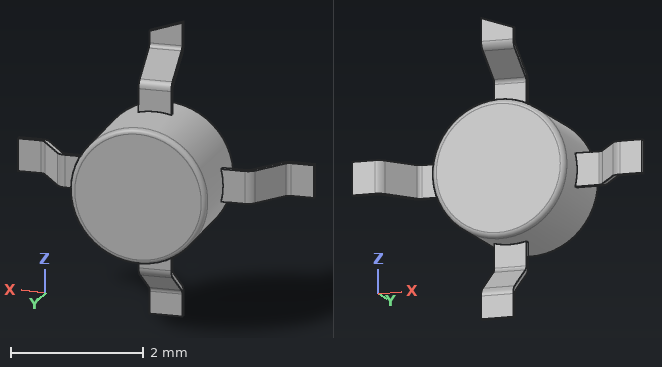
import cadquery as cq
import math

lead_reach = 2.335
body_radius = 1.08
body_length = 1.52
body_rounding = 0.08

lead_width = 0.52
lead_thickness = 0.08
foot_standoff = 0.04
lead_height = 0.66
root_radius = 0.935
first_bend = 1.425
bend_radius = 0.125
bend_angle = math.radians(54)
tip_cut = 0.177

foot_y = lead_thickness / 2 - foot_standoff
root_y = foot_y + lead_height - lead_thickness


def make_body():
    """Cylinder from Y = 0 to Y = body_length with both rims rounded."""
    body = cq.Workplane("XZ").circle(body_radius).extrude(-body_length)
    return body.faces("<Y or >Y").edges().fillet(body_rounding)


def make_lead():
    """Flat strip along +X, bent toward -Y and back out into a foot."""
    bend_run = bend_radius * math.sin(bend_angle)
    bend_drop = bend_radius * (1 - math.cos(bend_angle))
    half_run = bend_radius * math.sin(bend_angle / 2)
    half_drop = bend_radius * (1 - math.cos(bend_angle / 2))
    slope_drop = root_y - foot_y - 2 * bend_drop
    slope_end = first_bend + bend_run + slope_drop / math.tan(bend_angle)
    foot_start = slope_end + bend_run

    path = (
        cq.Workplane("XY")
        .moveTo(root_radius, root_y)
        .lineTo(first_bend, root_y)
        .threePointArc(
            (first_bend + half_run, root_y - half_drop),
            (first_bend + bend_run, root_y - bend_drop),
        )
        .lineTo(slope_end, foot_y + bend_drop)
        .threePointArc(
            (foot_start - half_run, foot_y + half_drop),
            (foot_start, foot_y),
        )
        .lineTo(lead_reach, foot_y)
    )
    section = cq.Workplane("YZ", origin=(root_radius, root_y, 0)).rect(lead_thickness, lead_width)
    return section.sweep(path)


def make_tip_cutter():
    """Wedge that slants the tip of the +Z lead, lower on the +X side."""
    half_width = lead_width / 2
    return (
        cq.Workplane("XZ")
        .moveTo(-half_width, lead_reach)
        .lineTo(half_width, lead_reach)
        .lineTo(half_width, lead_reach - tip_cut)
        .close()
        .extrude(body_length, both=True)
    )


result = make_body()
lead = make_lead()
for angle in (0, 90, 180, 270):
    result = result.union(lead.rotate((0, 0, 0), (0, 1, 0), angle))
result = result.cut(make_tip_cutter())